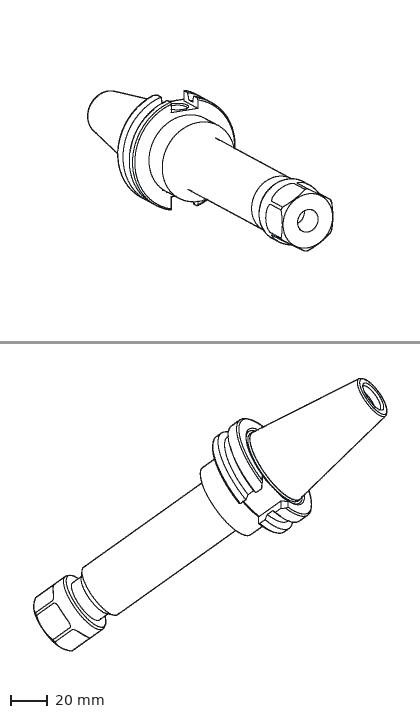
import cadquery as cq
import math


overall_length = 226.2
taper_length = 68.3
land_length = 0.7
flange_width = 18.5
hub_end = 103.2
shank_end = 191.9
neck_start = 195.3
nut_start = 202.0

taper_small_diameter = 25.0
taper_large_diameter = 44.3
hub_diameter = 44.8
flange_diameter = 63.4
shank_diameter = 31.7
neck_diameter = 25.0
nut_diameter = 35.0

taper_tip_chamfer = 1.0
flange_chamfer = 1.0
shank_root_fillet = 3.2
flange_root_fillet = 0.7

groove_center = 79.5
groove_floor_diameter = 56.0
groove_floor_width = 3.8
groove_mouth_width = 7.0

relief_floor_diameter = 47.5
relief_mouth_diameter = 49.5
relief_depth = 0.7

slot_width = 16.3
slot_entry_chamfer = 2.7
upper_slot_floor = 25.0
lower_slot_floor = 22.9

pocket_mouth_diameter = 12.0
pocket_diameter = 10.5
pocket_depth = 5.7
pilot_diameter = 8.0
pilot_depth = 9.0
pilot_tip_angle = 118.0

bore_diameter = 12.7
counterbore_diameter = 15.8
counterbore_depth = 5.0
counterbore_mouth_diameter = 17.6
counterbore_mouth_depth = 1.4

nut_back_chamfer_length = 1.4
nut_back_chamfer_height = 0.7
nut_front_chamfer_length = 1.5
nut_front_chamfer_height = 2.3
nut_collar_length = 8.8
flat_distance = 15.5
flat_count = 6

flange_start = taper_length + land_length
flange_end = flange_start + flange_width
flats_start = nut_start + nut_collar_length
spigot_end = flats_start


def revolve_about_axis(points):
    """Solid of revolution about X from a closed (x, radius) outline."""
    outline = cq.Workplane("XY").polyline(points).close()
    return outline.revolve(360, (0, 0, 0), (1, 0, 0))


def root_arc_middle(face_x, shaft_radius, fillet_radius):
    """Middle point of a concave fillet between a face at face_x and the round on its +X side."""
    offset = fillet_radius * (1 - math.sqrt(0.5))
    return (face_x + offset, shaft_radius + offset)


def holder_blank():
    flange_radius = flange_diameter / 2
    hub_radius = hub_diameter / 2
    shank_radius = shank_diameter / 2
    tip_radius = taper_small_diameter / 2
    flange_root_middle = root_arc_middle(flange_end, hub_radius, flange_root_fillet)
    shank_root_middle = root_arc_middle(hub_end, shank_radius, shank_root_fillet)
    outline = (
        cq.Workplane("XY")
        .moveTo(0, 0)
        .lineTo(0, tip_radius - taper_tip_chamfer)
        .lineTo(taper_tip_chamfer, tip_radius)
        .lineTo(taper_length, taper_large_diameter / 2)
        .lineTo(taper_length, hub_radius)
        .lineTo(flange_start, hub_radius)
        .lineTo(flange_start, flange_radius - flange_chamfer)
        .lineTo(flange_start + flange_chamfer, flange_radius)
        .lineTo(flange_end - flange_chamfer, flange_radius)
        .lineTo(flange_end, flange_radius - flange_chamfer)
        .lineTo(flange_end, hub_radius + flange_root_fillet)
        .threePointArc(flange_root_middle, (flange_end + flange_root_fillet, hub_radius))
        .lineTo(hub_end, hub_radius)
        .lineTo(hub_end, shank_radius + shank_root_fillet)
        .threePointArc(shank_root_middle, (hub_end + shank_root_fillet, shank_radius))
        .lineTo(shank_end, shank_radius)
        .lineTo(neck_start, neck_diameter / 2)
        .lineTo(spigot_end, neck_diameter / 2)
        .lineTo(spigot_end, 0)
        .close()
    )
    return outline.revolve(360, (0, 0, 0), (1, 0, 0))


def gripper_groove():
    floor_radius = groove_floor_diameter / 2
    mouth_radius = flange_diameter / 2
    return revolve_about_axis([
        (groove_center - groove_floor_width / 2, floor_radius),
        (groove_center + groove_floor_width / 2, floor_radius),
        (groove_center + groove_mouth_width / 2, mouth_radius),
        (groove_center - groove_mouth_width / 2, mouth_radius),
    ])


def face_relief():
    relief_floor = flange_start + relief_depth
    return revolve_about_axis([
        (flange_start, hub_diameter / 2),
        (relief_floor, hub_diameter / 2),
        (relief_floor, relief_floor_diameter / 2),
        (flange_start, relief_mouth_diameter / 2),
    ])


def drive_slot(floor_distance, side):
    """Slot through the flange with flared entry; side is +1 for +Z and -1 for -Z."""
    half_width = slot_width / 2
    flared_half_width = half_width + slot_entry_chamfer
    slot_height = flange_diameter / 2 - floor_distance
    plan = [
        (flange_start, -flared_half_width),
        (flange_start + slot_entry_chamfer, -half_width),
        (flange_end, -half_width),
        (flange_end, half_width),
        (flange_start + slot_entry_chamfer, half_width),
        (flange_start, flared_half_width),
    ]
    floor = cq.Workplane("XY").workplane(offset=side * floor_distance)
    return floor.polyline(plan).close().extrude(side * slot_height)


def slot_hole():
    """Countersunk hole with a conical bottom, sunk into the upper slot floor."""
    countersink_depth = (pocket_mouth_diameter - pocket_diameter) / 2
    pilot_radius = pilot_diameter / 2
    tip_length = pilot_radius / math.tan(math.radians(pilot_tip_angle / 2))
    profile = [
        (0, 0),
        (pocket_mouth_diameter / 2, 0),
        (pocket_diameter / 2, -countersink_depth),
        (pocket_diameter / 2, -pocket_depth),
        (pilot_radius, -pocket_depth),
        (pilot_radius, -pilot_depth),
        (0, -pilot_depth - tip_length),
    ]
    hole = cq.Workplane("XZ").polyline(profile).close().revolve(360, (0, 0, 0), (0, 1, 0))
    return hole.translate((groove_center, 0, upper_slot_floor))


def axial_bore():
    bore_radius = bore_diameter / 2
    counterbore_radius = counterbore_diameter / 2
    mouth_radius = counterbore_mouth_diameter / 2
    return revolve_about_axis([
        (0, 0),
        (0, mouth_radius),
        (counterbore_mouth_depth, counterbore_radius),
        (counterbore_depth, counterbore_radius),
        (counterbore_depth + counterbore_radius - bore_radius, bore_radius),
        (overall_length, bore_radius),
        (overall_length, 0),
    ])


def build_holder():
    holder = holder_blank().cut(gripper_groove()).cut(face_relief())
    holder = holder.cut(drive_slot(upper_slot_floor, 1)).cut(drive_slot(lower_slot_floor, -1))
    return holder.cut(slot_hole()).cut(axial_bore())


def nut_blank():
    """Chamfered ring with a blind recess for the spigot and a smaller bore through its front."""
    nut_radius = nut_diameter / 2
    spigot_radius = neck_diameter / 2
    bore_radius = bore_diameter / 2
    return revolve_about_axis([
        (nut_start, spigot_radius),
        (nut_start, nut_radius - nut_back_chamfer_height),
        (nut_start + nut_back_chamfer_length, nut_radius),
        (overall_length - nut_front_chamfer_length, nut_radius),
        (overall_length, nut_radius - nut_front_chamfer_height),
        (overall_length, bore_radius),
        (spigot_end, bore_radius),
        (spigot_end, spigot_radius),
    ])


def flat_cutter():
    """Block that leaves a flat facing +Y with a concave fillet where it meets the collar."""
    nut_radius = nut_diameter / 2
    flat_depth = nut_radius - flat_distance
    fillet_middle = root_arc_middle(flats_start, flat_distance, flat_depth)
    profile = (
        cq.Workplane("XY")
        .moveTo(flats_start, nut_radius)
        .threePointArc(fillet_middle, (flats_start + flat_depth, flat_distance))
        .lineTo(overall_length, flat_distance)
        .lineTo(overall_length, nut_radius)
        .close()
    )
    return profile.extrude(nut_radius, both=True)


def build_nut():
    nut = nut_blank()
    for index in range(flat_count):
        angle = index * 360 / flat_count
        nut = nut.cut(flat_cutter().rotate((0, 0, 0), (1, 0, 0), angle))
    return nut


holder = build_holder()
nut = build_nut()
result = cq.Compound.makeCompound([holder.val(), nut.val()])